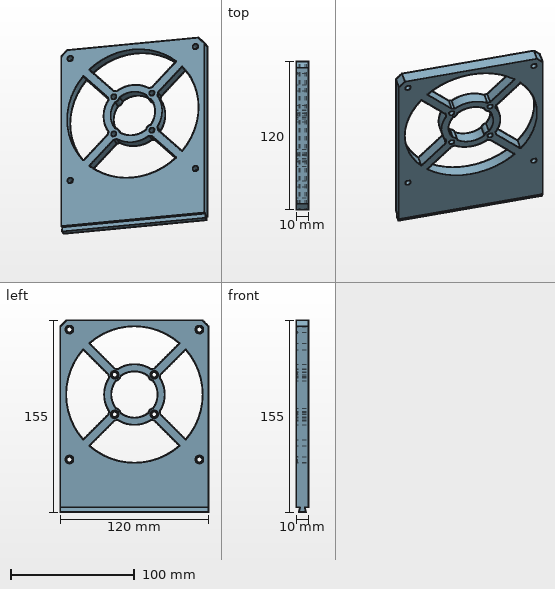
import cadquery as cq

thickness = 10.0
width = 120.0
total_height = 155.0
corner_chamfer = 5.0

tongue_height = 3.9
tongue_root_width = 4.0
tongue_foot_width = 5.9

opening_diameter = 110.1
ring_outer_diameter = 49.2
ring_inner_diameter = 37.2
spoke_width = 7.07
spoke_angle = 45.0

frame_hole_diameter = 4.5
frame_hole_spacing = 105.0
hub_hole_diameter = 4.3
hub_hole_spacing = 32.0
hub_boss_diameter = 10.0
hole_chamfer = 1.0

top_z = width / 2
bottom_z = top_z - total_height
shoulder_z = bottom_z + tongue_height
half_thickness = thickness / 2


def face_plane():
    """Sketch plane on the -X face, with local x along +Y and the normal along +X."""
    return cq.Workplane("YZ", origin=(-half_thickness, 0, 0))


def square_corners(spacing):
    """Four points at the corners of a square centred on the fan axis."""
    half = spacing / 2
    return [(y, z) for y in (-half, half) for z in (-half, half)]


def make_plate():
    """Rectangular plate with its two top corners chamfered."""
    plate_height = top_z - shoulder_z
    plate = (
        face_plane()
        .center(0, shoulder_z + plate_height / 2)
        .rect(width, plate_height)
        .extrude(thickness)
    )
    return plate.edges("|X and >Z").chamfer(corner_chamfer)


def make_tongue():
    """Dovetail tongue running the full width, wider at its foot."""
    half_root = tongue_root_width / 2
    half_foot = tongue_foot_width / 2
    profile = [
        (-half_root, shoulder_z),
        (half_root, shoulder_z),
        (half_foot, bottom_z),
        (-half_foot, bottom_z),
    ]
    return cq.Workplane("XZ", origin=(0, width / 2, 0)).polyline(profile).close().extrude(width)


def make_hub():
    """Hub ring with screw bosses, carried by two crossed pairs of spokes."""
    spokes = face_plane().rect(opening_diameter, spoke_width).extrude(thickness)
    spokes = spokes.union(face_plane().rect(spoke_width, opening_diameter).extrude(thickness))
    spokes = spokes.rotate((0, 0, 0), (1, 0, 0), spoke_angle)
    ring = face_plane().circle(ring_outer_diameter / 2).extrude(thickness)
    bore = face_plane().circle(ring_inner_diameter / 2).extrude(thickness)
    bosses = (
        face_plane()
        .pushPoints(square_corners(hub_hole_spacing))
        .circle(hub_boss_diameter / 2)
        .extrude(thickness)
    )
    return spokes.union(ring).cut(bore).union(bosses)


def make_hole_cutter(diameter):
    """Through hole along X that opens out in a chamfer at the -X face."""
    radius = diameter / 2
    mouth_radius = radius + hole_chamfer
    profile = [
        (-half_thickness, 0),
        (-half_thickness, mouth_radius),
        (-half_thickness + hole_chamfer, radius),
        (half_thickness, radius),
        (half_thickness, 0),
    ]
    return cq.Workplane("XY").polyline(profile).close().revolve(360, (0, 0, 0), (1, 0, 0))


def cut_holes(body, diameter, spacing):
    """Cut one square pattern of chamfered screw holes."""
    cutter = make_hole_cutter(diameter)
    for y, z in square_corners(spacing):
        body = body.cut(cutter.translate((0, y, z)))
    return body


opening = face_plane().circle(opening_diameter / 2).extrude(thickness)
frame = make_plate().cut(opening).union(make_tongue()).union(make_hub())
frame = cut_holes(frame, frame_hole_diameter, frame_hole_spacing)
result = cut_holes(frame, hub_hole_diameter, hub_hole_spacing)